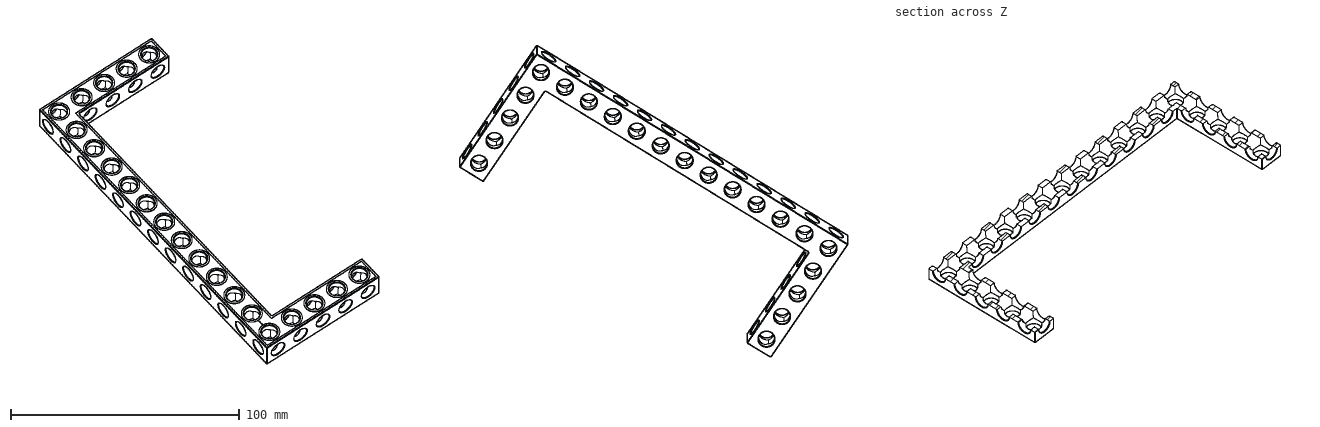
import cadquery as cq

hole_count_x = 13
hole_count_y = 5
length = 162.5
pitch = length / hole_count_x
depth = hole_count_y * pitch
top = pitch / 2
hole_diameter = 7.0
edge_chamfer = 0.3

recess_depth = 0.2
land_width = 0.8
rim_width = edge_chamfer + land_width
collar_diameter = hole_diameter + 2 * rim_width

rib_width = 0.2

column_places = [(i - (hole_count_x - 1) / 2) * pitch for i in range(hole_count_x)]
row_places = [(i - (hole_count_y - 1) / 2) * pitch for i in range(hole_count_y)]
front_row = row_places[0]
arm_columns = (column_places[0], column_places[-1])

upright_hole_places = [(x, front_row) for x in column_places]
upright_hole_places += [(x, y) for x in arm_columns for y in row_places[1:]]


def u_slab(inset, bottom, height):
    """U-shaped slab with every side moved inward by the inset."""
    outer_x = length / 2 - inset
    inner_x = length / 2 - pitch + inset
    front_y = -depth / 2 + inset
    inner_y = -depth / 2 + pitch - inset
    back_y = depth / 2 - inset
    outline = [
        (-outer_x, front_y),
        (outer_x, front_y),
        (outer_x, back_y),
        (inner_x, back_y),
        (inner_x, inner_y),
        (-inner_x, inner_y),
        (-inner_x, back_y),
        (-outer_x, back_y),
    ]
    return cq.Workplane("XY", origin=(0, 0, bottom)).polyline(outline).close().extrude(height)


def upright_cylinders(diameter, bottom, height):
    """Vertical cylinders at every hole of the top face."""
    plane = cq.Workplane("XY", origin=(0, 0, bottom))
    return plane.pushPoints(upright_hole_places).circle(diameter / 2).extrude(height)


def cross_cylinders(plane, places, reach):
    """Horizontal cylinders at mid height, extending by the reach to both sides of the plane."""
    points = [(place, 0) for place in places]
    return cq.Workplane(plane).pushPoints(points).circle(hole_diameter / 2).extrude(reach, both=True)


body = u_slab(0, -top, pitch).edges().chamfer(edge_chamfer)
body = body.cut(upright_cylinders(hole_diameter, -top, pitch))
body = body.cut(cross_cylinders("XZ", column_places, depth / 2))
body = body.cut(cross_cylinders("YZ", row_places, length / 2))

body = body.edges("%CIRCLE").chamfer(edge_chamfer)

recess_floor = top - recess_depth
recess = u_slab(rim_width, recess_floor, recess_depth)
recess = recess.cut(upright_cylinders(collar_diameter, recess_floor, recess_depth))

rib_middle = (column_places[-2] + column_places[-1]) / 2
rib_plane = cq.Workplane("XY", origin=(rib_middle, front_row, recess_floor))
recess = recess.cut(rib_plane.rect(pitch, rib_width).extrude(recess_depth))

result = body.cut(recess)